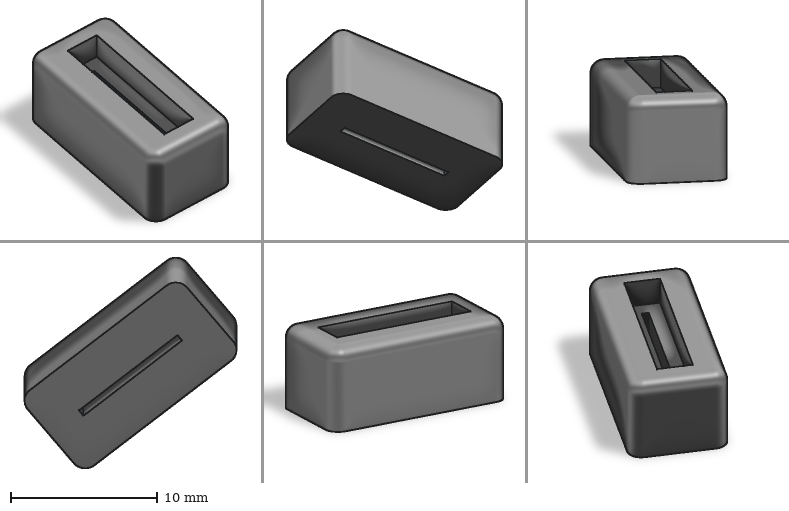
import cadquery as cq

length = 14.0
width = length / 2
height = 6.0
edge_radius = 1.0

pocket_length = 10.67
pocket_width = 2.5
pocket_depth = 2.0
ledge_width = 1.01
slot_length = pocket_length - 2 * ledge_width
slot_width = pocket_width - 2 * ledge_width


def rounded_block():
    """Block on the XY plane with every edge rounded except the bottom rim."""
    block = cq.Workplane("XY").box(length, width, height, centered=(True, True, False))
    return block.edges("|Z or >Z").fillet(edge_radius)


def cut_stepped_opening(body):
    """Sink the pocket, then cut a slot through its floor, leaving a ledge all round."""
    body = body.faces(">Z").workplane().rect(pocket_length, pocket_width).cutBlind(-pocket_depth)
    return body.faces("<Z").workplane().rect(slot_length, slot_width).cutThruAll()


result = cut_stepped_opening(rounded_block())